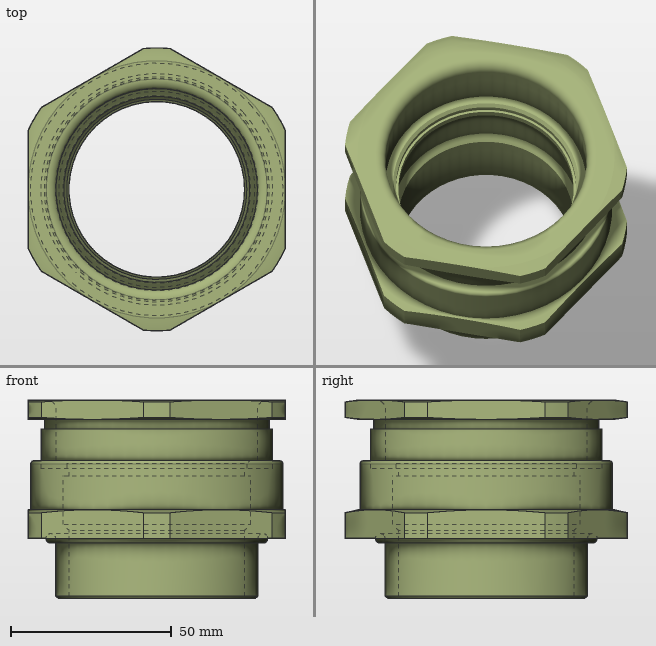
import cadquery as cq
import math


across_flats = 80.0
corner_radius = 44.0
across_corners = across_flats / math.cos(math.radians(30))

hex_bottom = 18.75
body_hex_height = 9.05
sleeve_height = 15.1
nut_thread_height = 9.85
nut_neck_height = 3.0
nut_hex_height = 6.0
hex_top = hex_bottom + body_hex_height
sleeve_top = hex_top + sleeve_height
neck_bottom = sleeve_top + nut_thread_height
nut_hex_bottom = neck_bottom + nut_neck_height
nut_top = nut_hex_bottom + nut_hex_height

thread_radius = 31.5
thread_chamfer_width = 1.0
thread_chamfer_height = 0.8
sleeve_radius = 39.25
sleeve_round = 1.0
body_hex_drop = 1.1
outlet_radius = 27.25
seat_bottom = 21.2
chamber_radius = 29.15
seat_top = seat_bottom + chamber_radius - outlet_radius
lip_radius = outlet_radius
lip_bottom = 38.2
lip_top = 40.4

nut_thread_radius = 36.0
nut_neck_radius = 35.0
nut_hex_drop = 0.6
nut_face_radius = across_flats / 2
nut_bore_radius = 31.3
mouth_round = 3.0
flange_radius = 28.0
flange_chamfer = 0.9

ring_section_radius = 1.5
ring_radius = thread_radius + ring_section_radius


def revolve(profile):
    """Turn an XZ half section around the Z axis."""
    return profile.close().revolve(360, (0, 0, 0), (0, 1, 0))


def hexagon(bottom, height, face_radius, top_drop, bottom_drop):
    """Hexagon with flats on +X and -X, whose corners slope off outside the face radius."""
    prism = (
        cq.Workplane("XY").workplane(offset=bottom)
        .transformed(rotate=(0, 0, 30))
        .polygon(6, across_corners).extrude(height)
    )
    top = bottom + height
    turned_blank = revolve(
        cq.Workplane("XZ").moveTo(0, bottom)
        .lineTo(face_radius, bottom)
        .lineTo(corner_radius, bottom + bottom_drop)
        .lineTo(corner_radius, top - top_drop)
        .lineTo(face_radius, top)
        .lineTo(0, top)
    )
    return prism.intersect(turned_blank)


def make_body():
    groove_outer = ring_radius + ring_section_radius
    outside = revolve(
        cq.Workplane("XZ").moveTo(0, 0)
        .lineTo(thread_radius - thread_chamfer_width, 0)
        .lineTo(thread_radius, thread_chamfer_height)
        .lineTo(thread_radius, hex_top)
        .lineTo(sleeve_radius, hex_top)
        .lineTo(sleeve_radius, sleeve_top - sleeve_round)
        .radiusArc((sleeve_radius - sleeve_round, sleeve_top), -sleeve_round)
        .lineTo(0, sleeve_top)
    )
    bore = revolve(
        cq.Workplane("XZ").moveTo(0, 0)
        .lineTo(outlet_radius, 0)
        .lineTo(outlet_radius, seat_bottom)
        .lineTo(chamber_radius, seat_top)
        .lineTo(chamber_radius, lip_bottom)
        .lineTo(lip_radius, lip_bottom)
        .lineTo(lip_radius, lip_top)
        .lineTo(nut_thread_radius, lip_top)
        .lineTo(nut_thread_radius, sleeve_top)
        .lineTo(0, sleeve_top)
    )
    ring_groove = revolve(
        cq.Workplane("XZ").moveTo(thread_radius, hex_bottom)
        .threePointArc((ring_radius, hex_bottom + ring_section_radius), (groove_outer, hex_bottom))
    )
    body_hex = hexagon(hex_bottom, body_hex_height, sleeve_radius, body_hex_drop, 0).cut(ring_groove)
    return outside.cut(ring_groove).union(body_hex).cut(bore)


def make_nut():
    barrel = revolve(
        cq.Workplane("XZ").moveTo(0, lip_top)
        .lineTo(nut_thread_radius, lip_top)
        .lineTo(nut_thread_radius, neck_bottom)
        .lineTo(nut_neck_radius, neck_bottom)
        .lineTo(nut_neck_radius, nut_hex_bottom)
        .lineTo(0, nut_hex_bottom)
    )
    bore = revolve(
        cq.Workplane("XZ").moveTo(0, lip_top)
        .lineTo(flange_radius, lip_top)
        .lineTo(flange_radius, sleeve_top - flange_chamfer)
        .lineTo(flange_radius + flange_chamfer, sleeve_top)
        .lineTo(nut_bore_radius, sleeve_top)
        .lineTo(nut_bore_radius, nut_top - mouth_round)
        .radiusArc((nut_bore_radius + mouth_round, nut_top), mouth_round)
        .lineTo(0, nut_top)
    )
    nut_hex = hexagon(nut_hex_bottom, nut_hex_height, nut_face_radius, nut_hex_drop, nut_hex_drop)
    return barrel.union(nut_hex).cut(bore)


def make_o_ring():
    section = cq.Workplane("XZ").center(ring_radius, hex_bottom).circle(ring_section_radius)
    return section.revolve(360, (-ring_radius, 0, 0), (-ring_radius, 1, 0))


body = make_body()
nut = make_nut()
o_ring = make_o_ring()

result = cq.Compound.makeCompound([body.solids().val(), nut.solids().val(), o_ring.val()])